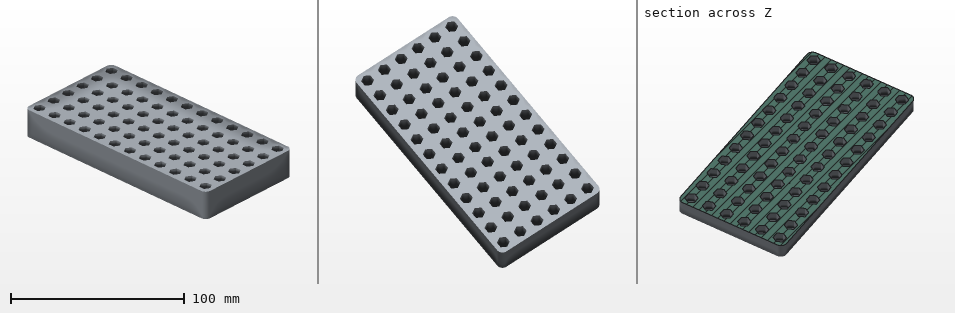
import cadquery as cq
import math

length = 144.0
width = 72.0
height = 18.0
corner_radius = 3.7

columns = 12
rows = 6
column_pitch = length / columns
row_pitch = width / rows

socket_sides = 6
across_flats = 6.5
across_corners = across_flats / math.cos(math.pi / socket_sides)
floor_thickness = 3.0
socket_depth = height - floor_thickness


def make_block():
    """Plain block standing on Z = 0, with rounded vertical edges."""
    block = cq.Workplane("XY").box(length, width, height, centered=(True, True, False))
    return block.edges("|Z").fillet(corner_radius)


def cut_sockets(block):
    """Sink blind hexagonal sockets, with corners along X, into the top face."""
    return (
        block.faces(">Z")
        .workplane()
        .rarray(column_pitch, row_pitch, columns, rows)
        .polygon(socket_sides, across_corners)
        .cutBlind(-socket_depth)
    )


result = cut_sockets(make_block())